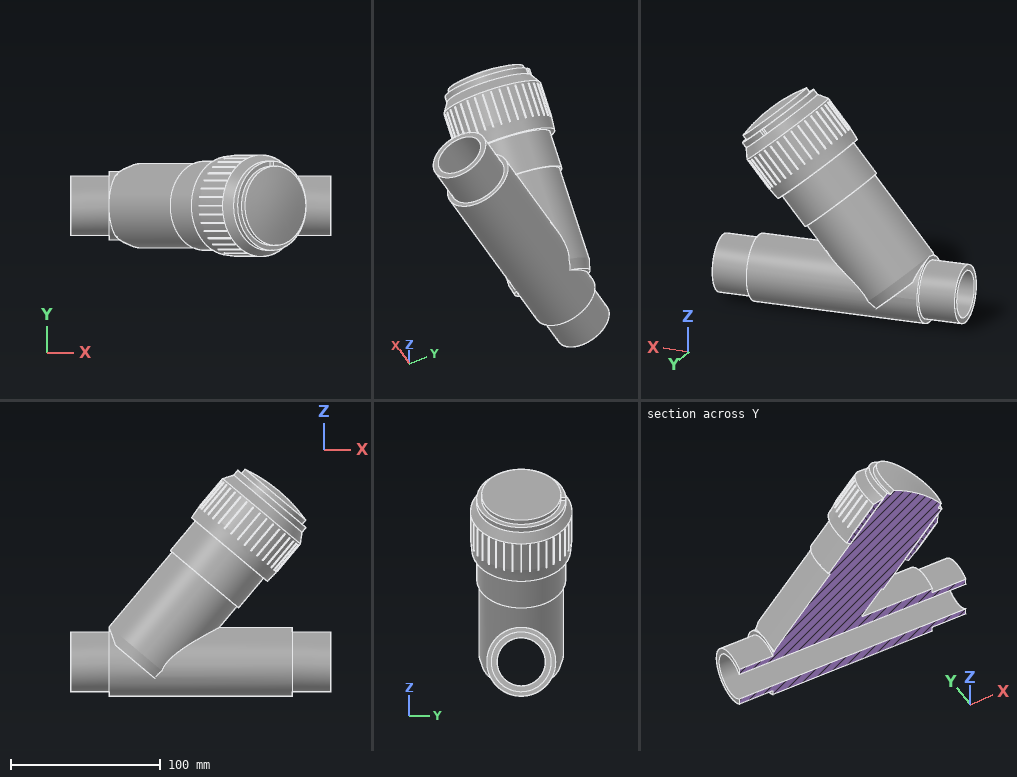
import cadquery as cq
import math

pipe_length = 174.0
pipe_diameter = 40.0
bore_diameter = 32.0
sleeve_length = 122.5
sleeve_diameter = 46.1

branch_angle = 50.0
branch_foot_x = -43.8
branch_diameter = 56.7
foot_diameter = 53.0
foot_taper_height = 7.0

stem_diameter = 59.7
stem_bottom = 72.0
stem_top = 142.2
end_disc_diameter = 53.0
end_disc_top = 145.8
dome_height = 3.5
slot_width = 3.1

nut_diameter = 68.0
nut_bottom_diameter = 66.3
nut_bottom = 98.0
nut_taper_top = 108.2
nut_cone_bottom = 131.4
nut_cone_top = 138.0

groove_count = 36
groove_width = 0.5
groove_depth = 0.5
groove_bottom = 106.7
groove_top = 129.8

slot_depth = stem_top - nut_cone_top

branch_plane = cq.Plane(
    origin=(branch_foot_x, 0, 0),
    xDir=(math.sin(math.radians(branch_angle)), 0, -math.cos(math.radians(branch_angle))),
    normal=(math.cos(math.radians(branch_angle)), 0, math.sin(math.radians(branch_angle))),
)


def cylinder_along_x(length, diameter):
    return cq.Workplane("YZ", origin=(-length / 2, 0, 0)).circle(diameter / 2).extrude(length)


def branch_and_stem():
    """Revolved branch, stem and domed end, standing on the local Z axis."""
    disc_radius = end_disc_diameter / 2
    dome_radius = (disc_radius**2 + dome_height**2) / (2 * dome_height)
    half_radius = disc_radius / 2
    half_rise = dome_height - dome_radius + math.sqrt(dome_radius**2 - half_radius**2)
    return (
        cq.Workplane("XZ")
        .lineTo(foot_diameter / 2, 0)
        .lineTo(branch_diameter / 2, foot_taper_height)
        .lineTo(branch_diameter / 2, stem_bottom)
        .lineTo(stem_diameter / 2, stem_bottom)
        .lineTo(stem_diameter / 2, stem_top)
        .lineTo(disc_radius, stem_top)
        .lineTo(disc_radius, end_disc_top)
        .threePointArc((half_radius, end_disc_top + half_rise), (0, end_disc_top + dome_height))
        .close()
        .revolve(360, (0, 0, 0), (0, 1, 0))
    )


def rim_slot():
    """Radial slot across the exposed stem rim, on the +Y side only."""
    rim_width = (stem_diameter - end_disc_diameter) / 2
    return (
        cq.Workplane("XY")
        .box(slot_width, rim_width, slot_depth, centered=(True, False, False))
        .translate((0, end_disc_diameter / 2, nut_cone_top))
    )


def place_on_branch(shape):
    return cq.Workplane(shape.val().moved(branch_plane.location))


def beyond_sleeve_end():
    """Block that trims the branch foot flush with the -X end of the sleeve."""
    return (
        cq.Workplane("YZ", origin=(-sleeve_length / 2, 0, 0))
        .rect(2 * branch_diameter, 2 * branch_diameter)
        .extrude(-branch_diameter)
    )


def make_housing():
    """Pipe, sleeve and inclined branch as one solid, with a straight bore through the pipe."""
    pipe = cylinder_along_x(pipe_length, pipe_diameter)
    sleeve = cylinder_along_x(sleeve_length, sleeve_diameter)
    branch = place_on_branch(branch_and_stem().cut(rim_slot())).cut(beyond_sleeve_end())
    bore = cylinder_along_x(pipe_length, bore_diameter)
    return pipe.union(sleeve).union(branch).cut(bore)


def grip_groove():
    """Cutter for one groove: a box centred on the nut's outer face."""
    return (
        cq.Workplane("XY")
        .box(2 * groove_depth, groove_width, groove_top - groove_bottom, centered=(True, True, False))
        .translate((nut_diameter / 2, 0, groove_bottom))
    )


def make_union_nut():
    """Ring that fits around the stem, tapered below and coned above, with grooves for grip."""
    nut = (
        cq.Workplane("XZ")
        .moveTo(stem_diameter / 2, nut_bottom)
        .lineTo(nut_bottom_diameter / 2, nut_bottom)
        .lineTo(nut_diameter / 2, nut_taper_top)
        .lineTo(nut_diameter / 2, nut_cone_bottom)
        .lineTo(stem_diameter / 2, nut_cone_top)
        .close()
        .revolve(360, (0, 0, 0), (0, 1, 0))
    )
    groove = grip_groove()
    for index in range(groove_count):
        nut = nut.cut(groove.rotate((0, 0, 0), (0, 0, 1), index * 360 / groove_count))
    return place_on_branch(nut)


housing = make_housing()
union_nut = make_union_nut()

result = cq.Compound.makeCompound([housing.val(), union_nut.val()])